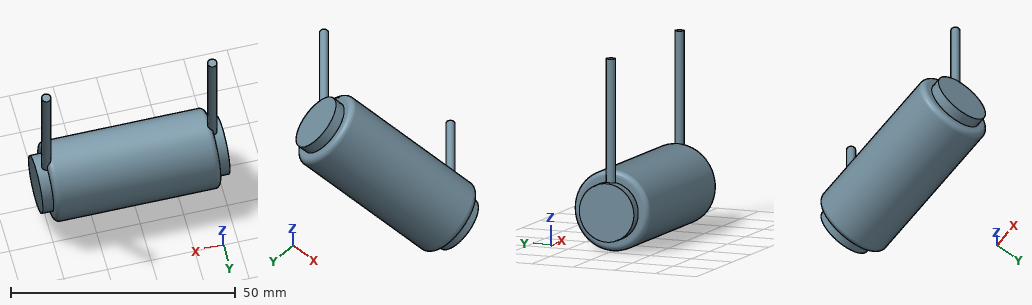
import cadquery as cq

core_length = 42.95
core_diameter = 13.25
body_length = 38.0
body_diameter = 18.3
body_edge_radius = 1.25
lead_diameter = 2.1
lead_spacing = 38.1
overall_height = 43.7

lead_top = overall_height - body_diameter / 2


def cylinder_along_x(diameter, length):
    """Cylinder on the X axis, centred on the origin."""
    return cq.Workplane("YZ", origin=(-length / 2, 0, 0)).circle(diameter / 2).extrude(length)


def lead(x):
    """Upright round wire from the core axis to the top of the part."""
    return cq.Workplane("XY").center(x, 0).circle(lead_diameter / 2).extrude(lead_top)


core = cylinder_along_x(core_diameter, core_length)
body = cylinder_along_x(body_diameter, body_length).edges("%CIRCLE").fillet(body_edge_radius)
result = core.union(body)

for side in (-1, 1):
    result = result.union(lead(side * lead_spacing / 2))